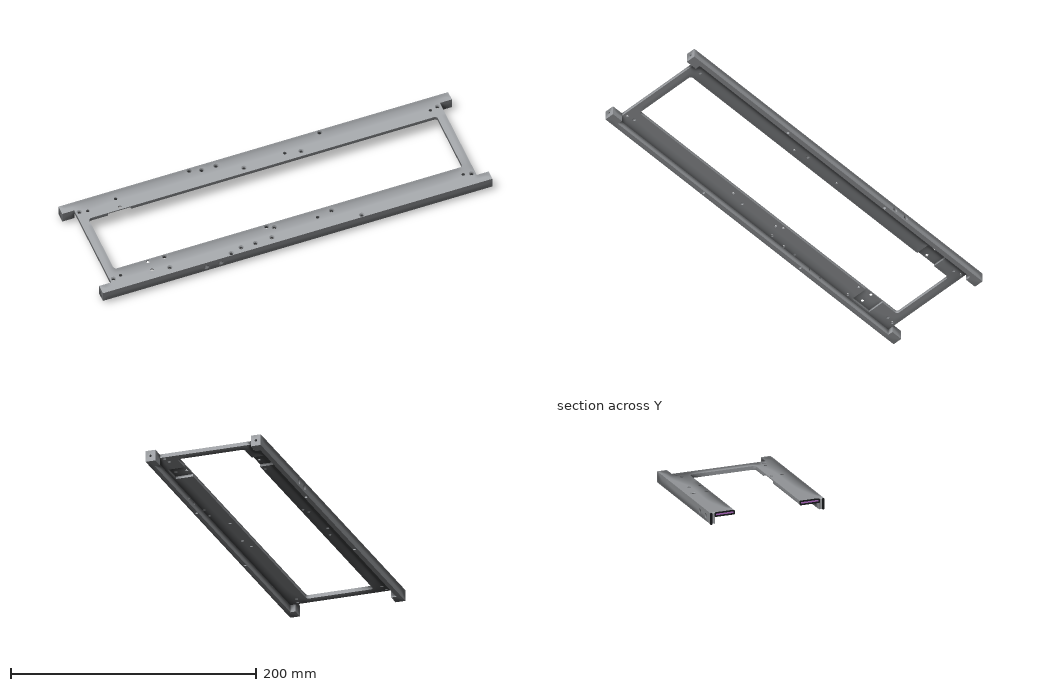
import cadquery as cq

FRAME_WIDTH = 100.0
FRAME_LENGTH = 340.5
FRAME_HEIGHT = 9.53

WALL_THICKNESS = 4.0
END_BLOCK_WIDTH = 8.5
END_BLOCK_LENGTH = 10.5
END_BLOCK_X = (FRAME_WIDTH - END_BLOCK_WIDTH) / 2
PLATE_THICKNESS = 3.175
PLATE_LENGTH = FRAME_LENGTH - 2 * END_BLOCK_LENGTH

WINDOW_WIDTH = 58.0
WINDOW_LENGTH = 304.5
WINDOW_CORNER_RADIUS = 2.5

PLAIN_DIAMETER = 2.8
ALIGNMENT_X = 37.0
ALIGNMENT_Y = (149.75, 22.5, -149.75)
FRONT_PAIR_X = (31.5, 41.0)
FRONT_PAIR_Y = -123.8

POCKET_OUTER_X = 44.0
POCKET_LENGTH = 20.0
POCKET_Y = -125.0
POCKET_FLOOR_THICKNESS = 1.0

SCREW_DIAMETER = 2.5
SCREW_HEAD_DIAMETER = 4.4
COUNTERSINK_ANGLE = 90.0
CORNER_SCREW_X = 38.5
CORNER_SCREW_Y = 156.5
EDGE_SCREW_X = 47.5
EDGE_SCREW_Y = 57.0
INNER_SCREW_X = 34.25
INNER_SCREW_Y = (35.75, -14.25)
RAIL_SCREW_X = 44.6
RAIL_SCREW_Y = (-34.75, -47.25)
RIGHT_SCREW_X = (31.3, 43.6)
RIGHT_SCREW_Y = (-20.0, -109.2)

CROSS_HOLE_Y = (-67.0, -79.5)
CROSS_HOLE_Z = 4.3

END_HOLE_DIAMETER = 2.0
END_HOLE_DEPTH = 10.0

SIDES = (-1, 1)


def make_frame():
    """Plate with a rounded rectangular window, long side walls and four end blocks."""
    plate = (
        cq.Workplane("XY")
        .workplane(offset=FRAME_HEIGHT - PLATE_THICKNESS)
        .rect(FRAME_WIDTH, PLATE_LENGTH)
        .extrude(PLATE_THICKNESS)
    )
    window = (
        cq.Workplane("XY")
        .rect(WINDOW_WIDTH, WINDOW_LENGTH)
        .extrude(FRAME_HEIGHT)
        .edges("|Z")
        .fillet(WINDOW_CORNER_RADIUS)
    )
    body = plate.cut(window)
    for side in SIDES:
        wall = cq.Workplane("XY").box(WALL_THICKNESS, FRAME_LENGTH, FRAME_HEIGHT, centered=(True, True, False))
        body = body.union(wall.translate((side * (FRAME_WIDTH - WALL_THICKNESS) / 2, 0, 0)))
        for end in SIDES:
            block = cq.Workplane("XY").box(
                END_BLOCK_WIDTH, END_BLOCK_LENGTH, FRAME_HEIGHT, centered=(True, True, False)
            )
            block_y = end * (FRAME_LENGTH - END_BLOCK_LENGTH) / 2
            body = body.union(block.translate((side * END_BLOCK_X, block_y, 0)))
    return body


def cut_underside_pockets(body):
    """Thin the plate around each front hole pair, leaving the pocket open to the window."""
    pocket_width = POCKET_OUTER_X - WINDOW_WIDTH / 2
    pocket_depth = PLATE_THICKNESS - POCKET_FLOOR_THICKNESS
    for side in SIDES:
        pocket = cq.Workplane("XY").box(pocket_width, POCKET_LENGTH, pocket_depth, centered=(True, True, False))
        pocket_x = side * (POCKET_OUTER_X - pocket_width / 2)
        body = body.cut(pocket.translate((pocket_x, POCKET_Y, FRAME_HEIGHT - PLATE_THICKNESS)))
    return body


def plain_hole_points():
    """Alignment holes and the front pairs, mirrored left to right."""
    points = [(side * ALIGNMENT_X, y) for side in SIDES for y in ALIGNMENT_Y]
    points += [(side * x, FRONT_PAIR_Y) for side in SIDES for x in FRONT_PAIR_X]
    return points


def screw_hole_points():
    """Mirrored screw positions plus four that exist on the right side only."""
    points = [(x, y) for x in RIGHT_SCREW_X for y in RIGHT_SCREW_Y]
    for side in SIDES:
        points += [(side * CORNER_SCREW_X, end * CORNER_SCREW_Y) for end in SIDES]
        points += [(side * EDGE_SCREW_X, end * EDGE_SCREW_Y) for end in SIDES]
        points += [(side * INNER_SCREW_X, y) for y in INNER_SCREW_Y]
        points += [(side * RAIL_SCREW_X, y) for y in RAIL_SCREW_Y]
    return points


def cut_vertical_holes(body):
    """Drill the plain and countersunk holes down from the top face."""
    top = body.faces(">Z").workplane(origin=(0, 0, FRAME_HEIGHT))
    body = top.pushPoints(plain_hole_points()).hole(PLAIN_DIAMETER)
    top = body.faces(">Z").workplane(origin=(0, 0, FRAME_HEIGHT))
    return top.pushPoints(screw_hole_points()).cskHole(SCREW_DIAMETER, SCREW_HEAD_DIAMETER, COUNTERSINK_ANGLE)


def cut_cross_holes(body):
    """Drill the countersunk holes through both long walls."""
    for face, side in ((">X", 1), ("<X", -1)):
        outer_face = body.faces(face).workplane(origin=(side * FRAME_WIDTH / 2, 0, 0))
        points = [(side * y, CROSS_HOLE_Z) for y in CROSS_HOLE_Y]
        body = outer_face.pushPoints(points).cskHole(
            SCREW_DIAMETER, SCREW_HEAD_DIAMETER, COUNTERSINK_ANGLE, depth=WALL_THICKNESS
        )
    return body


def cut_end_holes(body):
    """Drill one blind hole into the outer end of each end block."""
    points = [(side * END_BLOCK_X, FRAME_HEIGHT / 2) for side in SIDES]
    for end in SIDES:
        end_face = cq.Workplane("XZ", origin=(0, end * FRAME_LENGTH / 2, 0)).pushPoints(points)
        body = body.cut(end_face.circle(END_HOLE_DIAMETER / 2).extrude(end * END_HOLE_DEPTH))
    return body


result = make_frame()
result = cut_underside_pockets(result)
result = cut_vertical_holes(result)
result = cut_cross_holes(result)
result = cut_end_holes(result)